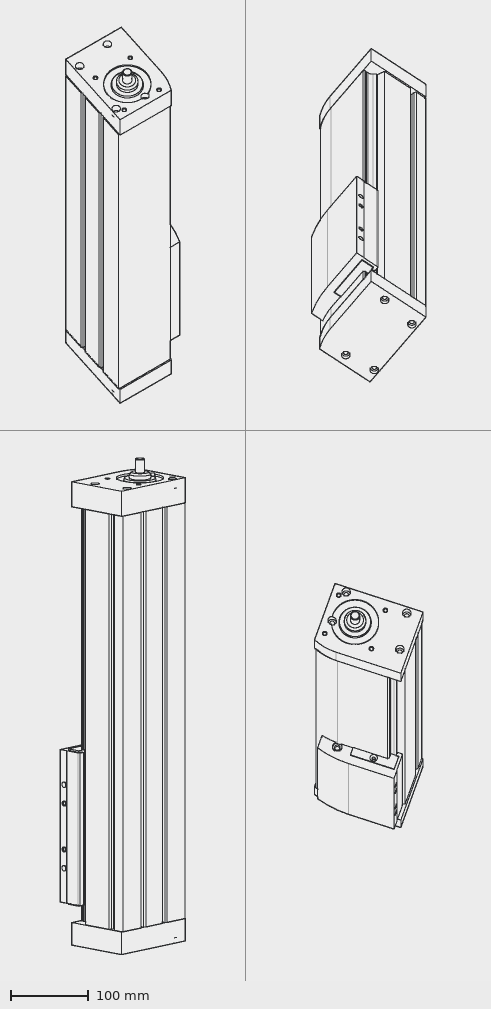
import cadquery as cq
import math


total_length = 634.5
lower_cap_length = 30.0
upper_cap_bottom = 576.0
upper_cap_top = 609.0

cap_width = 120.0
cap_bottom_y = 1.0
cap_top_y = 89.5
crown_radius = 76.0
crown_run = 32.0

cap_screw_points = [(-48.0, 59.0), (-40.5, 9.5), (47.0, 50.0), (42.5, 7.5)]
cap_head_diameter = 11.0
cap_screw_diameter = 6.0
upper_head_depth = 11.5
lower_head_depth = 7.0

shaft_x = 18.5
shaft_y = 42.5
mount_ring_outer = 61.0
mount_boss_base = 42.0
mount_boss_top = 40.0
mount_ring_depth = 2.5
mount_hole_diameter = 4.2
mount_hole_rim_diameter = 6.0
mount_hole_sink = 0.95
mount_hole_depth = 13.0
mount_spacing_x = 63.5
mount_spacing_y = 55.0

shaft_diameter = 12.0
collar_diameter = 28.0
collar_top_diameter = 21.5
collar_height = 5.0
collar_bevel = 2.5
shaft_end_chamfer = 0.95

cap_overhang = 2.0
profile_top_y = 89.5
front_slot_mouth = 9.0
side_slot_mouth = 9.5
slot_floor = 5.0
slot_depth = 6.5
front_slot_spacing = 40.0
side_slot_y = 20.0
shoulder_low_y = 66.5
shoulder_high_y = 71.0
shoulder_run = 9.5
flank_low_y = 72.5
flank_high_y = 76.0
flank_run = 2.5
flank_fillet_top_y = 82.0
flank_fillet_radius = 8.0
rail_bevel = 2.0
rail_groove_bottom_y = 84.0
rail_groove_top_y = 85.5
rail_groove_depth = 1.0

carriage_bottom = 53.0
carriage_length = 200.5
carriage_left_x = -58.5
carriage_right_x = 48.0
carriage_top_y = 111.5
carriage_crown_radius = 139.5
carriage_crown_run = 44.5
carriage_edge_bevel_x = 0.3
carriage_edge_bevel_y = 1.0
skirt_top_y = 99.5
skirt_step = 0.3
skirt_bottom_y = 77.0
skirt_lip_y = 80.0
skirt_lip_taper = 0.1
skirt_inner_x = -51.0
plate_thickness = 2.0
plate_left_x = -54.5
plate_width = 59.5
plate_top_y = 100.0
plate_bottom_y = 82.0
plate_hole_y = 94.5
plate_hole_top_diameter = 9.5
plate_hole_diameter = 4.1
plate_hole_sink = 2.5
plate_hole_depth = 9.5
end_hole_x = 25.0
end_hole_y = 94.5
end_hole_head_diameter = 12.0
end_hole_head_depth = 4.0
end_hole_diameter = 7.0
end_hole_depth = 9.5
side_hole_y = 105.0
side_hole_depth = 6.5
outer_side_spacing = 110.0
outer_side_diameter = 7.0
inner_side_spacing = 60.0
inner_side_diameter = 6.5
inner_side_bottom_diameter = 4.9
inner_side_sink = 2.0


def crown_drop(radius, run):
    """Fall of an arc that starts level and runs sideways by the given length."""
    return radius - math.sqrt(radius**2 - run**2)


def crown_points(end_x, top_y, radius, run):
    """Start, middle and end of the arc that rounds off the +X end of a top side."""
    start_x = end_x - run
    return (
        (start_x, top_y),
        (start_x + run / 2, top_y - crown_drop(radius, run / 2)),
        (end_x, top_y - crown_drop(radius, run)),
    )


def cylinder(x, y, bottom, diameter, height):
    return cq.Workplane("XY", origin=(x, y, bottom)).circle(diameter / 2).extrude(height)


def cone(x, y, bottom, bottom_diameter, top_diameter, height):
    return cq.Workplane(
        cq.Solid.makeCone(bottom_diameter / 2, top_diameter / 2, height, cq.Vector(x, y, bottom))
    )



def make_cap(bottom, height):
    half = cap_width / 2
    start, middle, end = crown_points(half, cap_top_y, crown_radius, crown_run)
    return (
        cq.Workplane("XY", origin=(0, 0, bottom))
        .moveTo(-half, cap_bottom_y)
        .lineTo(-half, cap_top_y)
        .lineTo(*start)
        .threePointArc(middle, end)
        .lineTo(half, cap_bottom_y)
        .close()
        .extrude(height)
    )


def cut_cap_screws(cap, bottom, height, head_bottom, head_depth):
    for x, y in cap_screw_points:
        cap = cap.cut(cylinder(x, y, bottom, cap_screw_diameter, height))
        cap = cap.cut(cylinder(x, y, head_bottom, cap_head_diameter, head_depth))
    return cap


def make_lower_cap():
    cap = make_cap(0, lower_cap_length)
    return cut_cap_screws(cap, 0, lower_cap_length, 0, lower_head_depth)


def make_upper_cap():
    height = upper_cap_top - upper_cap_bottom
    cap = make_cap(upper_cap_bottom, height)

    ring_floor = upper_cap_top - mount_ring_depth
    ring = cylinder(shaft_x, shaft_y, ring_floor, mount_ring_outer, mount_ring_depth)
    boss = cone(shaft_x, shaft_y, ring_floor, mount_boss_base, mount_boss_top, mount_ring_depth)
    cap = cap.cut(ring.cut(boss))

    for side_x in (-1, 1):
        for side_y in (-1, 1):
            x = shaft_x + side_x * mount_spacing_x / 2
            y = shaft_y + side_y * mount_spacing_y / 2
            hole_bottom = upper_cap_top - mount_hole_depth
            sink_bottom = upper_cap_top - mount_hole_sink
            cap = cap.cut(cylinder(x, y, hole_bottom, mount_hole_diameter, mount_hole_depth))
            cap = cap.cut(
                cone(x, y, sink_bottom, mount_hole_diameter, mount_hole_rim_diameter, mount_hole_sink)
            )

    head_bottom = upper_cap_top - upper_head_depth
    cap = cut_cap_screws(cap, upper_cap_bottom, height, head_bottom, upper_head_depth)

    return cap.cut(cylinder(shaft_x, shaft_y, upper_cap_bottom, shaft_diameter, height))



def make_shaft():
    bevel_bottom = upper_cap_top + collar_height
    shaft_length = total_length - upper_cap_bottom
    shaft = cylinder(shaft_x, shaft_y, upper_cap_bottom, shaft_diameter, shaft_length)
    shaft = shaft.faces(">Z").chamfer(shaft_end_chamfer)
    shaft = shaft.union(cylinder(shaft_x, shaft_y, upper_cap_top, collar_diameter, collar_height))
    return shaft.union(
        cone(shaft_x, shaft_y, bevel_bottom, collar_diameter, collar_top_diameter, collar_bevel)
    )



def make_slot(x, y, mouth, angle):
    """Slot opening toward -Y, with a bevelled mouth, turned about Z and moved to its mouth's middle."""
    half_mouth = mouth / 2
    half_floor = slot_floor / 2
    slot_bevel = half_mouth - half_floor
    length = upper_cap_bottom - lower_cap_length
    return (
        cq.Workplane("XY")
        .polyline([
            (-half_mouth, 0),
            (-half_floor, slot_bevel),
            (-half_floor, slot_depth),
            (half_floor, slot_depth),
            (half_floor, slot_bevel),
            (half_mouth, 0),
        ])
        .close()
        .extrude(length)
        .rotate((0, 0, 0), (0, 0, 1), angle)
        .translate((x, y, lower_cap_length))
    )


def make_profile_blank():
    """Profile without its slots: full width below, a guide rail on the -X side above."""
    half = cap_width / 2 - cap_overhang
    shoulder_x = -half + shoulder_run
    flank_x = shoulder_x + flank_run
    fillet_height = flank_fillet_top_y - flank_high_y
    rail_x = flank_x + crown_drop(flank_fillet_radius, fillet_height)
    fillet_middle_x = rail_x - crown_drop(flank_fillet_radius, fillet_height / 2)
    fillet_middle = (fillet_middle_x, flank_fillet_top_y - fillet_height / 2)
    groove_x = rail_x + rail_groove_depth
    start, middle, end = crown_points(half, profile_top_y, crown_radius, crown_run)
    return (
        cq.Workplane("XY", origin=(0, 0, lower_cap_length))
        .moveTo(half, 0)
        .lineTo(-half, 0)
        .lineTo(-half, shoulder_low_y)
        .lineTo(shoulder_x, shoulder_high_y)
        .lineTo(shoulder_x, flank_low_y)
        .lineTo(flank_x, flank_high_y)
        .threePointArc(fillet_middle, (rail_x, flank_fillet_top_y))
        .lineTo(rail_x, rail_groove_bottom_y)
        .lineTo(groove_x, rail_groove_bottom_y)
        .lineTo(groove_x, rail_groove_top_y)
        .lineTo(rail_x, rail_groove_top_y)
        .lineTo(rail_x, profile_top_y - rail_bevel)
        .lineTo(rail_x + rail_bevel, profile_top_y)
        .lineTo(*start)
        .threePointArc(middle, end)
        .close()
        .extrude(upper_cap_bottom - lower_cap_length)
    )


def make_profile():
    profile = make_profile_blank()
    for side in (-1, 1):
        profile = profile.cut(make_slot(side * front_slot_spacing / 2, 0, front_slot_mouth, 0))
    side_x = -cap_width / 2 + cap_overhang
    return profile.cut(make_slot(side_x, side_slot_y, side_slot_mouth, -90))



def make_carriage_block():
    """Carriage over the top of the profile, with a skirt that reaches down the -X side."""
    skirt_x = carriage_left_x + skirt_step
    crown_foot_y = profile_top_y - crown_drop(crown_radius, crown_run)
    start, middle, end = crown_points(
        carriage_right_x, carriage_top_y, carriage_crown_radius, carriage_crown_run
    )
    return (
        cq.Workplane("XY", origin=(0, 0, carriage_bottom))
        .moveTo(skirt_inner_x, skirt_bottom_y)
        .lineTo(skirt_x + skirt_lip_taper, skirt_bottom_y)
        .lineTo(skirt_x, skirt_lip_y)
        .lineTo(skirt_x, skirt_top_y)
        .lineTo(carriage_left_x, skirt_top_y)
        .lineTo(carriage_left_x, carriage_top_y - carriage_edge_bevel_y)
        .lineTo(carriage_left_x + carriage_edge_bevel_x, carriage_top_y)
        .lineTo(*start)
        .threePointArc(middle, end)
        .lineTo(carriage_right_x, crown_foot_y)
        .lineTo(skirt_inner_x, crown_foot_y)
        .close()
        .extrude(carriage_length)
    )


def make_end_plates():
    """Wiper plates, one on each end of the carriage, as a single bar running through it."""
    bar = cq.Workplane("XY").box(
        plate_width,
        plate_top_y - plate_bottom_y,
        carriage_length + 2 * plate_thickness,
        centered=False,
    )
    return bar.translate((plate_left_x, plate_bottom_y, carriage_bottom - plate_thickness))


def cut_end_holes(carriage):
    carriage_top = carriage_bottom + carriage_length

    plate_x = plate_left_x + plate_width / 2
    plate_top = carriage_top + plate_thickness
    carriage = carriage.cut(
        cylinder(plate_x, plate_hole_y, plate_top - plate_hole_depth, plate_hole_diameter, plate_hole_depth)
    )
    carriage = carriage.cut(
        cone(
            plate_x,
            plate_hole_y,
            plate_top - plate_hole_sink,
            plate_hole_diameter,
            plate_hole_top_diameter,
            plate_hole_sink,
        )
    )

    carriage = carriage.cut(
        cylinder(end_hole_x, end_hole_y, carriage_top - end_hole_depth, end_hole_diameter, end_hole_depth)
    )
    head_bottom = carriage_top - end_hole_head_depth
    return carriage.cut(
        cylinder(end_hole_x, end_hole_y, head_bottom, end_hole_head_diameter, end_hole_head_depth)
    )


def side_hole(z, diameter, depth):
    return (
        cq.Workplane("YZ", origin=(carriage_left_x, side_hole_y, z))
        .circle(diameter / 2)
        .extrude(depth)
    )


def cut_side_holes(carriage):
    middle_z = carriage_bottom + carriage_length / 2
    for side in (-1, 1):
        outer_z = middle_z + side * outer_side_spacing / 2
        inner_z = middle_z + side * inner_side_spacing / 2
        carriage = carriage.cut(side_hole(outer_z, outer_side_diameter, side_hole_depth))
        carriage = carriage.cut(side_hole(inner_z, inner_side_diameter, inner_side_sink))
        carriage = carriage.cut(side_hole(inner_z, inner_side_bottom_diameter, side_hole_depth))
    return carriage


def make_carriage():
    carriage = make_carriage_block().union(make_end_plates())
    carriage = cut_end_holes(carriage)
    carriage = cut_side_holes(carriage)
    return carriage.cut(make_profile_blank())


lower_cap = make_lower_cap()
upper_cap = make_upper_cap()
shaft = make_shaft()
profile = make_profile()
carriage = make_carriage()

result = cq.Compound.makeCompound([
    lower_cap.val(),
    upper_cap.val(),
    shaft.val(),
    profile.val(),
    carriage.val(),
])